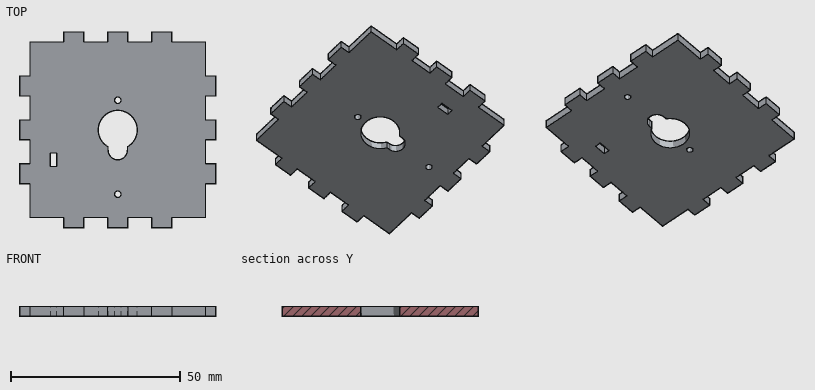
import cadquery as cq

overall_size = 58.0
thickness = 3.0
tab_depth = thickness
tab_width = 6.0
tabs_per_edge = 3
body_size = overall_size - 2 * tab_depth
tab_pitch = body_size / (tabs_per_edge + 1)

keyhole_diameter = 11.5
keyhole_slot_width = 5.6
keyhole_slot_bottom = -8.8

screw_hole_diameter = 1.85
screw_hole_heights = (8.75, -19.0)

window_width = 1.85
window_height = 3.9
window_center = (-19.0, -8.8)


def block(width, height, center=(0, 0)):
    """Rectangular block of full plate thickness, resting on Z = 0."""
    return cq.Workplane("XY").center(*center).rect(width, height).extrude(thickness)


def cylinder(diameter, center=(0, 0)):
    """Cylinder of full plate thickness, resting on Z = 0."""
    return cq.Workplane("XY").center(*center).circle(diameter / 2).extrude(thickness)


def tabbed_plate():
    """Square body crossed by strips whose ends form the opposite tabs."""
    plate = block(body_size, body_size)
    for index in range(tabs_per_edge):
        offset = (index - (tabs_per_edge - 1) / 2) * tab_pitch
        plate = plate.union(block(overall_size, tab_width, (0, offset)))
        plate = plate.union(block(tab_width, overall_size, (offset, 0)))
    return plate


def keyhole():
    slot_end_y = keyhole_slot_bottom + keyhole_slot_width / 2
    slot = block(keyhole_slot_width, -slot_end_y, (0, slot_end_y / 2))
    slot_end = cylinder(keyhole_slot_width, (0, slot_end_y))
    return cylinder(keyhole_diameter).union(slot).union(slot_end)


result = tabbed_plate().cut(keyhole())
for hole_y in screw_hole_heights:
    result = result.cut(cylinder(screw_hole_diameter, (0, hole_y)))
result = result.cut(block(window_width, window_height, window_center))